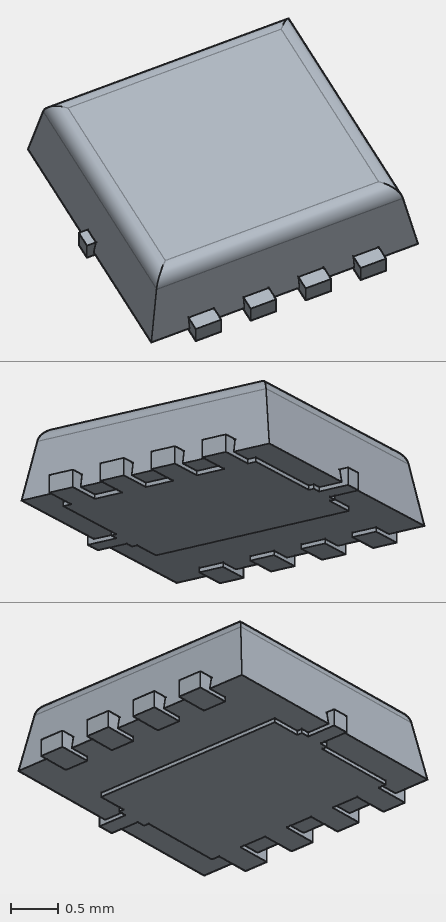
import cadquery as cq

span_x = 3.3
span_y = 3.31
height = 0.9

housing_x = 3.0
housing_y = 3.15
standoff = 0.05
draft_angle = 10.0
rim_radius = 0.2

metal_thickness = 0.2
lead_count = 4
lead_pitch = 0.65
lead_width = 0.3
lead_length = 0.4

pad_left = -0.565
pad_right = 1.225
pad_y = 2.45
shoulder_width = 0.405
shoulder_span_y = 2.58
tie_bar_width = 0.2

lead_ys = [(i - (lead_count - 1) / 2) * lead_pitch for i in range(lead_count)]


def metal_plate(x_min, x_max, y_centre, y_width):
    """Flat rectangular piece of the metal frame, standing on Z = 0."""
    return cq.Workplane("XY").box(
        x_max - x_min, y_width, metal_thickness, centered=(False, True, False)
    ).translate((x_min, y_centre, 0))


def make_lead(y_centre):
    """Separate lead on the -X side."""
    return metal_plate(-span_x / 2, -span_x / 2 + lead_length, y_centre, lead_width)


def make_drain_pad():
    """Pad in one piece with its +X leads, end shoulders and tie bars."""
    pad = metal_plate(pad_left, pad_right, 0, pad_y)
    pad = pad.union(metal_plate(-shoulder_width / 2, shoulder_width / 2, 0, shoulder_span_y))
    pad = pad.union(metal_plate(-tie_bar_width / 2, tie_bar_width / 2, 0, span_y))
    for y_centre in lead_ys:
        pad = pad.union(metal_plate(pad_right, span_x / 2, y_centre, lead_width))
    return pad


def make_housing(embedded_bodies):
    """Tapered housing with a rounded rim and a matching recess for each metal body."""
    block = (
        cq.Workplane("XY", origin=(0, 0, standoff))
        .rect(housing_x, housing_y)
        .extrude(height - standoff, taper=draft_angle)
    )
    block = block.faces(">Z").edges().fillet(rim_radius)
    for body in embedded_bodies:
        block = block.cut(body)
    return block


leads = [make_lead(y_centre) for y_centre in lead_ys]
drain_pad = make_drain_pad()
housing = make_housing([*leads, drain_pad])

result = cq.Compound.makeCompound([
    housing.solids().val(),
    drain_pad.solids().val(),
    *[lead.val() for lead in leads],
])